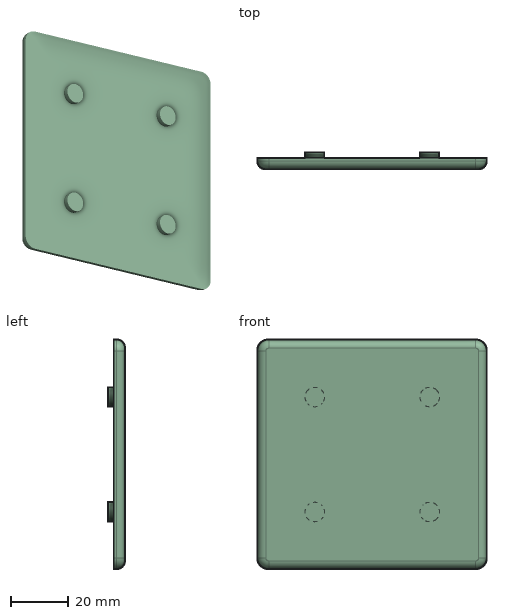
import cadquery as cq

side = 80.0
plate_thickness = 4.0
corner_radius = 4.0
front_edge_radius = 3.0

peg_diameter = 6.8
peg_height = 2.0
peg_spacing = 40.0


def make_plate():
    """Square plate with its back face on y = 0 and a rounded front rim."""
    plate = cq.Workplane("XZ").rect(side, side).extrude(plate_thickness)
    plate = plate.edges("|Y").fillet(corner_radius)
    return plate.faces("<Y").edges().fillet(front_edge_radius)


def make_pegs():
    """Four pegs in a square pattern, standing out from the back face."""
    return (
        cq.Workplane("XZ")
        .rarray(peg_spacing, peg_spacing, 2, 2)
        .circle(peg_diameter / 2)
        .extrude(-peg_height)
    )


result = make_plate().union(make_pegs())